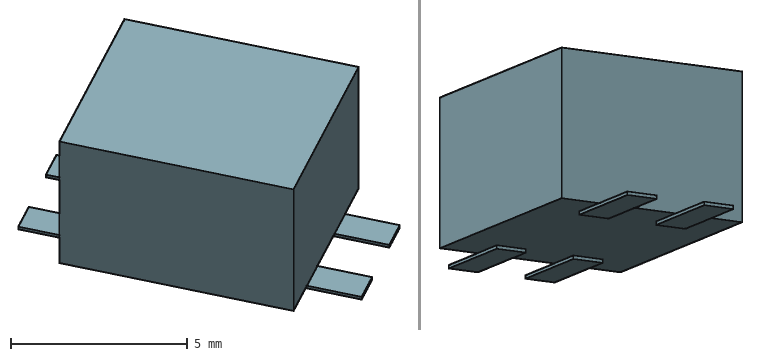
import cadquery as cq

OVERALL_LENGTH = 10.26
OVERALL_HEIGHT = 4.5

LEAD_LENGTH = 2.76
LEAD_WIDTH = 0.95
LEAD_THICKNESS = 0.1
LEAD_PITCH = 2.5

HOUSING_LENGTH = 7.0
HOUSING_WIDTH = 5.9
HOUSING_HEIGHT = OVERALL_HEIGHT - LEAD_THICKNESS


def make_housing():
    """Plain block whose underside meets the tops of the leads."""
    return (
        cq.Workplane("XY", origin=(0, 0, LEAD_THICKNESS))
        .box(HOUSING_LENGTH, HOUSING_WIDTH, HOUSING_HEIGHT, centered=(True, True, False))
    )


def make_lead(x_side, y_side):
    """Flat strip reaching outward from under the housing on the given side."""
    x_center = x_side * (OVERALL_LENGTH - LEAD_LENGTH) / 2
    y_center = y_side * LEAD_PITCH / 2
    return (
        cq.Workplane("XY", origin=(x_center, y_center, 0))
        .box(LEAD_LENGTH, LEAD_WIDTH, LEAD_THICKNESS, centered=(True, True, False))
    )


housing = make_housing()
leads = [make_lead(x_side, y_side) for x_side in (-1, 1) for y_side in (-1, 1)]

result = cq.Compound.makeCompound([housing.val(), *[lead.val() for lead in leads]])